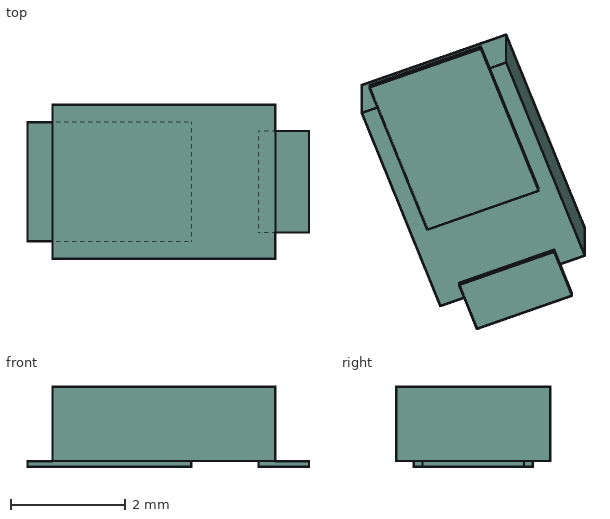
import cadquery as cq

total_length = 4.93
total_height = 1.4

lead_thickness = 0.1
left_lead_length = 2.87
left_lead_width = 2.085
left_lead_overhang = 0.44
right_lead_length = 0.885
right_lead_width = 1.78
right_lead_overhang = 0.59

housing_length = total_length - left_lead_overhang - right_lead_overhang
housing_width = 2.7
housing_height = total_height - lead_thickness

left_end = -housing_length / 2 - left_lead_overhang
right_end = housing_length / 2 + right_lead_overhang


def block(start_x, bottom_z, length, width, height):
    """Plain block centred on Y, starting at start_x and standing on bottom_z."""
    return cq.Workplane("XY").box(length, width, height, centered=(False, True, False)).translate(
        (start_x, 0, bottom_z)
    )


def make_housing():
    return block(-housing_length / 2, lead_thickness, housing_length, housing_width, housing_height)


def make_left_lead():
    return block(left_end, 0, left_lead_length, left_lead_width, lead_thickness)


def make_right_lead():
    start_x = right_end - right_lead_length
    return block(start_x, 0, right_lead_length, right_lead_width, lead_thickness)


housing = make_housing()
left_lead = make_left_lead()
right_lead = make_right_lead()

result = cq.Compound.makeCompound([housing.val(), left_lead.val(), right_lead.val()])